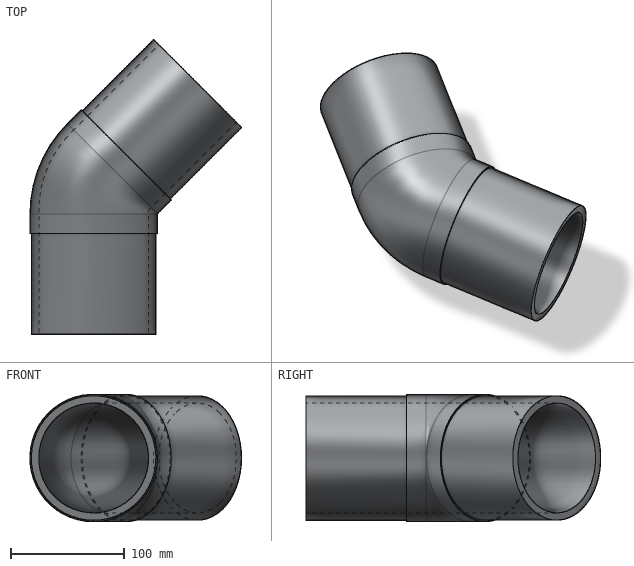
import cadquery as cq
import math

pipe_diameter = 110.0
collar_diameter = 112.7
bore_diameter = 97.0
spigot_length = 89.2
collar_length = 17.2
bend_angle = 45
inner_bend_radius = 0.5

angle = math.radians(bend_angle)
leg_directions = (
    cq.Vector(0, -1, 0),
    cq.Vector(math.sin(angle), math.cos(angle), 0),
)


def bend_radius(diameter):
    """Centreline radius of a bend with the given section diameter."""
    return diameter / 2 + inner_bend_radius


def tangent_length(diameter):
    """Distance from the corner of the centrelines to either end of the bend."""
    return bend_radius(diameter) * math.tan(angle / 2)


collar_end = tangent_length(collar_diameter) + collar_length
leg_end = collar_end + spigot_length


def elbow(diameter, reach):
    """Solid round bend with a straight leg on each end, reaching that far from the corner."""
    bend_start = tangent_length(diameter)
    radius = bend_radius(diameter)
    solid = (
        cq.Workplane("XZ", origin=(0, -bend_start, 0))
        .circle(diameter / 2)
        .revolve(bend_angle, (radius, 2.5, 0), (radius, 0, 0))
    )
    for direction in leg_directions:
        leg = cq.Solid.makeCylinder(
            diameter / 2, reach - bend_start, direction * bend_start, direction
        )
        solid = solid.union(cq.Workplane(leg))
    return solid


def spigot(direction):
    """Solid plain pipe end projecting from a collar."""
    return cq.Workplane(
        cq.Solid.makeCylinder(pipe_diameter / 2, spigot_length, direction * collar_end, direction)
    )


body = elbow(collar_diameter, collar_end)
for leg_direction in leg_directions:
    body = body.union(spigot(leg_direction))

result = body.cut(elbow(bore_diameter, leg_end))